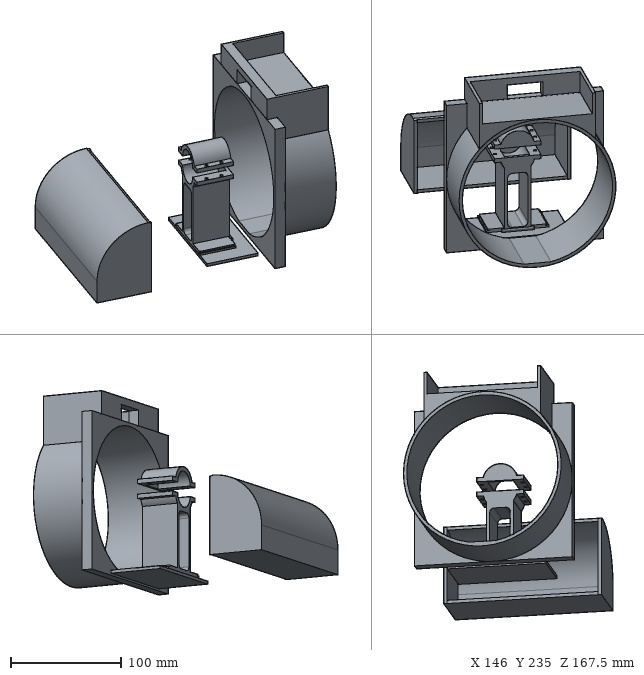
import cadquery as cq
import math


WIDTH = 146.0
WALL = 3.0

PLATE_DEPTH = 10.0
DUCT_LENGTH = 50.0
HOUSING_DEPTH = PLATE_DEPTH + DUCT_LENGTH
DUCT_RADIUS = WIDTH / 2
BORE_RADIUS = 69.8
BORE_FLAT_WIDTH = 25.0

TRAY_WIDTH = 108.0
TRAY_HEIGHT = 21.5
TRAY_FLOOR_RISE = 1.0
TRAY_WINDOW_WIDTH = 33.1
TRAY_WINDOW_HEIGHT = 14.5

BASE_WIDTH = 91.2
BASE_DEPTH = 50.3
BASE_THICKNESS = 2.8
BASE_BACK_Y = -5.2
BASE_FRONT_Y = BASE_BACK_Y - BASE_DEPTH

BEARING_LENGTH = 36.0
BEARING_BACK_Y = BASE_FRONT_Y + BEARING_LENGTH
BEARING_MIDDLE_Y = BASE_FRONT_Y + BEARING_LENGTH / 2
BEARING_RADIUS = 16.0
SHAFT_RADIUS = 11.8
END_WALL = 3.0
FLANGE_WIDTH = 43.2
FLANGE_THICKNESS = 4.0
SCREW_DIAMETER = 2.8
SCREW_SPACING_X = 37.4
SCREW_SPACING_Y = 14.5
STAND_TOP_Z = 75.5
CAP_BOTTOM_Z = 85.0

LEGS_WIDTH = 25.0
LEG_WINDOW_FILLET = 4.2
FOOT_WIDTH = 58.0
FOOT_DEPTH = 35.2
FOOT_LOWER_HEIGHT = 1.9
FOOT_UPPER_HEIGHT = 1.5
FOOT_STEP = 1.5
FOOT_CORNER_RADIUS = 1.5
FOOT_TOP_Z = BASE_THICKNESS + FOOT_LOWER_HEIGHT + FOOT_UPPER_HEIGHT
TONGUE_WIDTH = 30.3
TONGUE_LENGTH = 2.0
TONGUE_HEIGHT = 2.4
TONGUE_ROUNDING = 1.2

TOTAL_DEPTH = 235.0
COVER_DEPTH = 53.5
COVER_FRONT_Y = HOUSING_DEPTH - TOTAL_DEPTH
COVER_BACK_Y = COVER_FRONT_Y + COVER_DEPTH
COVER_BOTTOM_Z = 2.8
COVER_FRONT_HEIGHT = 22.8
COVER_ARC_RADIUS = 50.3
COVER_LIP_DROP = 1.0
COVER_SHELL_SETBACK = 1.0


def block(x_size, y_front, y_back, z_bottom, z_top):
    """Box centred on X = 0 between the given Y and Z limits."""
    return cq.Workplane("XY", origin=(0, y_front, z_bottom)).box(
        x_size, y_back - y_front, z_top - z_bottom, centered=(True, False, False)
    )


def cylinder_along_y(radius, y_front, y_back, z_axis):
    """Solid cylinder on X = 0 with its axis parallel to Y."""
    return (
        cq.Workplane("XZ", origin=(0, y_back, z_axis))
        .circle(radius)
        .extrude(y_back - y_front)
    )


def make_housing():
    axis_z = WIDTH / 2
    plate = block(WIDTH, 0, PLATE_DEPTH, 0, WIDTH)
    duct = cylinder_along_y(DUCT_RADIUS, 0, HOUSING_DEPTH, axis_z)
    bore = cylinder_along_y(BORE_RADIUS, 0, HOUSING_DEPTH, axis_z)
    flat_z = axis_z - math.sqrt(BORE_RADIUS**2 - (BORE_FLAT_WIDTH / 2) ** 2)
    bore = bore.intersect(block(WIDTH, 0, HOUSING_DEPTH, flat_z, WIDTH))
    return plate.union(duct).cut(bore)


def make_tray():
    top_z = WIDTH + TRAY_HEIGHT
    floor_z = WIDTH + TRAY_FLOOR_RISE
    front_wall = block(TRAY_WIDTH, 0, PLATE_DEPTH, WIDTH, top_z)
    window = block(TRAY_WINDOW_WIDTH, 0, PLATE_DEPTH, WIDTH, WIDTH + TRAY_WINDOW_HEIGHT)
    body = block(TRAY_WIDTH, PLATE_DEPTH, HOUSING_DEPTH, WIDTH / 2, top_z)
    inside = block(TRAY_WIDTH - 2 * WALL, PLATE_DEPTH, HOUSING_DEPTH, floor_z, top_z)
    duct = cylinder_along_y(DUCT_RADIUS, PLATE_DEPTH, HOUSING_DEPTH, WIDTH / 2)
    return body.cut(inside).cut(duct).union(front_wall.cut(window))


def make_base():
    return block(BASE_WIDTH, BASE_FRONT_Y, BASE_BACK_Y, 0, BASE_THICKNESS)


def half_bearing(split_z, direction):
    """Half of the shaft bearing with its flanges, above (+1) or below (-1) the split plane."""
    flange_z = sorted((split_z, split_z + direction * FLANGE_THICKNESS))
    half_z = sorted((split_z, split_z + direction * BEARING_RADIUS))
    shell = cylinder_along_y(BEARING_RADIUS, BASE_FRONT_Y, BEARING_BACK_Y, split_z)
    half_space = block(2 * BEARING_RADIUS, BASE_FRONT_Y, BEARING_BACK_Y, *half_z)
    flanges = block(FLANGE_WIDTH, BASE_FRONT_Y, BEARING_BACK_Y, *flange_z)
    screw_holes = (
        cq.Workplane("XY", origin=(0, BEARING_MIDDLE_Y, flange_z[0]))
        .rarray(SCREW_SPACING_X, SCREW_SPACING_Y, 2, 2)
        .circle(SCREW_DIAMETER / 2)
        .extrude(FLANGE_THICKNESS)
    )
    return shell.intersect(half_space).union(flanges).cut(screw_holes)


def shaft_bore(axis_z):
    return cylinder_along_y(SHAFT_RADIUS, BASE_FRONT_Y, BEARING_BACK_Y - END_WALL, axis_z)


def make_cap():
    return half_bearing(CAP_BOTTOM_Z, 1).cut(shaft_bore(CAP_BOTTOM_Z))


def make_foot():
    step_z = BASE_THICKNESS + FOOT_LOWER_HEIGHT
    foot_back_y = BASE_FRONT_Y + FOOT_DEPTH
    lower = block(FOOT_WIDTH, BASE_FRONT_Y, foot_back_y, BASE_THICKNESS, step_z)
    upper = block(
        FOOT_WIDTH - 2 * FOOT_STEP, BASE_FRONT_Y, foot_back_y, step_z, FOOT_TOP_Z
    ).edges("|Z").fillet(FOOT_CORNER_RADIUS)
    tongue = block(
        TONGUE_WIDTH,
        BEARING_MIDDLE_Y,
        BEARING_BACK_Y + TONGUE_LENGTH,
        BASE_THICKNESS,
        BASE_THICKNESS + TONGUE_HEIGHT,
    ).edges(">Y and >Z").fillet(TONGUE_ROUNDING)
    return lower.union(upper).union(tongue)


def make_stand():
    legs = block(LEGS_WIDTH, BASE_FRONT_Y, BEARING_BACK_Y, BASE_THICKNESS, STAND_TOP_Z)
    window = block(
        LEGS_WIDTH - 2 * WALL,
        BASE_FRONT_Y,
        BEARING_BACK_Y,
        FOOT_TOP_Z,
        STAND_TOP_Z - BEARING_RADIUS,
    ).edges("|Y").fillet(LEG_WINDOW_FILLET)
    return (
        legs.union(half_bearing(STAND_TOP_Z, -1))
        .union(make_foot())
        .cut(window)
        .cut(shaft_bore(STAND_TOP_Z))
    )


def cover_profile(inset):
    """Side outline of the cover, moved inwards by `inset` except at the open back."""
    axis_y = COVER_FRONT_Y + COVER_ARC_RADIUS
    axis_z = COVER_BOTTOM_Z + COVER_FRONT_HEIGHT
    radius = COVER_ARC_RADIUS - inset
    diagonal = radius * math.sqrt(0.5)
    return (
        cq.Workplane("YZ")
        .moveTo(COVER_BACK_Y, COVER_BOTTOM_Z + inset)
        .lineTo(axis_y - radius, COVER_BOTTOM_Z + inset)
        .lineTo(axis_y - radius, axis_z)
        .threePointArc((axis_y - diagonal, axis_z + diagonal), (axis_y, axis_z + radius))
        .lineTo(COVER_BACK_Y, axis_z + radius - COVER_LIP_DROP)
        .close()
    )


def make_cover():
    inside_width = WIDTH - 2 * WALL
    hood = cover_profile(0).extrude(WIDTH / 2, both=True)
    cavity = cover_profile(WALL).extrude(inside_width / 2, both=True)
    setback = block(
        inside_width,
        COVER_BACK_Y - COVER_SHELL_SETBACK,
        COVER_BACK_Y,
        COVER_BOTTOM_Z,
        COVER_BOTTOM_Z + COVER_FRONT_HEIGHT + COVER_ARC_RADIUS,
    )
    return hood.cut(cavity).cut(setback)


housing = make_housing()
tray = make_tray()
base = make_base()
stand = make_stand()
cap = make_cap()
cover = make_cover()

result = cq.Compound.makeCompound(
    [housing.val(), tray.val(), base.val(), stand.val(), cap.val(), cover.val()]
)